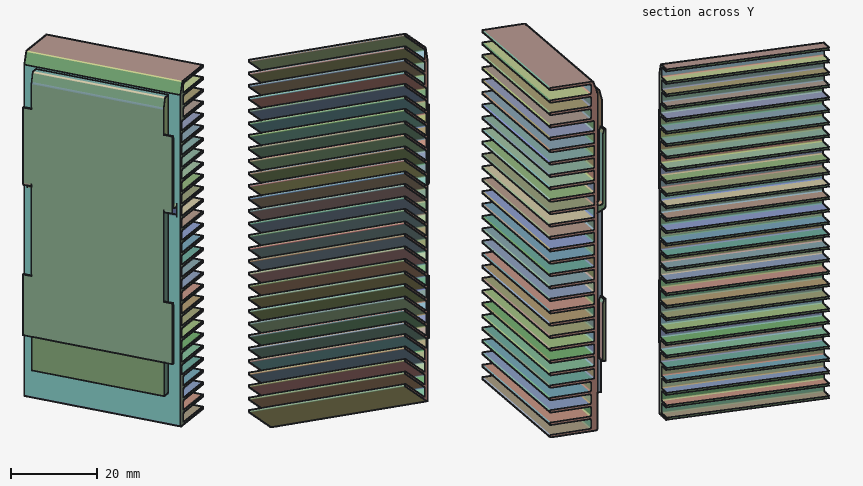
import cadquery as cq
import math

WIDTH = 40.2
HEIGHT = 86.6
DEPTH = 14.4
COVER_HEIGHT = 2.4
COVER_FRONT_Y = -COVER_HEIGHT
FIN_TIP_Y = DEPTH - COVER_HEIGHT

PLATE_THICKNESS = 0.82
END_THICKNESS = 1.65
PLATE_BOTTOM_RADIUS = 0.5
PLATE_TOP_RADIUS = 0.35
TOP_BEVEL_HEIGHT = 3.0
BEVEL_ANGLE = 20.0

FIN_COUNT = 29
FIN_THICKNESS = 0.65
FIN_TIP_RADIUS = 0.3
FIN_ROOT_RADIUS = 0.3
FIN_PITCH = (HEIGHT - FIN_THICKNESS) / (FIN_COUNT - 1)
THICK_GAPS_TOP = 3
THICK_GAPS_BOTTOM = 4

BLOCK_WIDTH = 34.0
BLOCK_BOTTOM_Z = 8.05
BLOCK_TOP_Z = 83.05
BLOCK_BEVEL_HEIGHT = 2.6
BLOCK_BEVEL_ANGLE = 15.0
BLOCK_EDGE_RADIUS = 0.4
BLOCK_BEND_RADIUS = 2.1
COVER_STEP = 0.3
COVER_EDGE_RADIUS = 0.22

TAB_SPAN = 38.45
TAB_THICKNESS = 0.74
TAB_BACK_Y = COVER_FRONT_Y + TAB_THICKNESS
TAB_LEAD_DEPTH = 0.3
TAB_LEAD_HEIGHT = 1.0
LOWER_TAB_BOTTOM_Z = 16.5
LOWER_TAB_TOP_Z = 31.9
UPPER_TAB_TOP_Z = 73.9

FOOT_TOP_Z = 55.3
FOOT_OUTER_Z = 54.4
FOOT_SLOPE_ANGLE = 22.0
FOOT_OUTER_RADIUS = 0.9
FOOT_INNER_RADIUS = 0.6
FOOT_TOP_ROOT_RADIUS = 0.7
FOOT_BOTTOM_ROOT_RADIUS = 0.9
FOOT_PAD_MARGIN = 2.6


def extrude_across(profile, span):
    """Extrude a (Y, Z) profile symmetrically across the width."""
    return profile.extrude(span / 2, both=True)


def box_yz(span, y_min, y_max, z_min, z_max):
    """Box of the given width, centred on X."""
    profile = cq.Workplane("YZ").moveTo(y_min, z_min).lineTo(y_max, z_min)
    profile = profile.lineTo(y_max, z_max).lineTo(y_min, z_max).close()
    return extrude_across(profile, span)


def edges_at(y, z):
    """Selector for X-parallel edges passing close to the point (Y, Z)."""
    reach = 0.01
    return cq.selectors.BoxSelector(
        (-WIDTH, y - reach, z - reach), (WIDTH, y + reach, z + reach)
    )


def make_heat_sink():
    bevel_y = TOP_BEVEL_HEIGHT * math.tan(math.radians(BEVEL_ANGLE))
    profile = (
        cq.Workplane("YZ")
        .moveTo(0, 0)
        .lineTo(FIN_TIP_Y, 0)
        .lineTo(FIN_TIP_Y, HEIGHT)
        .lineTo(bevel_y, HEIGHT)
        .lineTo(0, HEIGHT - TOP_BEVEL_HEIGHT)
        .close()
    )
    body = extrude_across(profile, WIDTH)
    body = body.edges(edges_at(0, 0)).fillet(PLATE_BOTTOM_RADIUS)
    body = body.edges(edges_at(bevel_y, HEIGHT)).fillet(PLATE_TOP_RADIUS)

    gap_count = FIN_COUNT - 1
    for index in range(gap_count):
        in_thick_end = index < THICK_GAPS_BOTTOM or index >= gap_count - THICK_GAPS_TOP
        root_y = END_THICKNESS if in_thick_end else PLATE_THICKNESS
        gap_bottom = index * FIN_PITCH + FIN_THICKNESS
        gap_top = (index + 1) * FIN_PITCH
        gap = box_yz(WIDTH, root_y, FIN_TIP_Y, gap_bottom, gap_top)
        gap = gap.faces("<Y").edges("|X").fillet(FIN_ROOT_RADIUS)
        body = body.cut(gap)
    return body.faces(">Y").edges("|X").fillet(FIN_TIP_RADIUS)


def make_block():
    bevel_y = COVER_FRONT_Y + BLOCK_BEVEL_HEIGHT * math.tan(math.radians(BLOCK_BEVEL_ANGLE))
    bevel_z = BLOCK_TOP_Z - BLOCK_BEVEL_HEIGHT
    profile = (
        cq.Workplane("YZ")
        .moveTo(0, BLOCK_BOTTOM_Z)
        .lineTo(0, BLOCK_TOP_Z)
        .lineTo(bevel_y, BLOCK_TOP_Z)
        .lineTo(COVER_FRONT_Y, bevel_z)
        .lineTo(COVER_FRONT_Y, LOWER_TAB_BOTTOM_Z)
        .lineTo(COVER_FRONT_Y + COVER_STEP, LOWER_TAB_BOTTOM_Z)
        .lineTo(COVER_FRONT_Y + COVER_STEP, BLOCK_BOTTOM_Z)
        .close()
    )
    block = extrude_across(profile, BLOCK_WIDTH)
    block = block.edges(edges_at(bevel_y, BLOCK_TOP_Z)).fillet(BLOCK_EDGE_RADIUS)
    return block.edges(edges_at(COVER_FRONT_Y, bevel_z)).fillet(BLOCK_BEND_RADIUS)


def draw_tab_top(profile, top_z):
    """Finish a tab outline across its top, from the front face to the lead-in on the back."""
    return (
        profile.lineTo(COVER_FRONT_Y, top_z)
        .lineTo(TAB_BACK_Y - TAB_LEAD_DEPTH, top_z)
        .lineTo(TAB_BACK_Y, top_z - TAB_LEAD_HEIGHT)
        .close()
    )


def make_lower_tabs():
    profile = (
        cq.Workplane("YZ")
        .moveTo(TAB_BACK_Y, LOWER_TAB_BOTTOM_Z)
        .lineTo(COVER_FRONT_Y, LOWER_TAB_BOTTOM_Z)
    )
    return extrude_across(draw_tab_top(profile, LOWER_TAB_TOP_Z), TAB_SPAN)


def make_upper_tabs():
    slope_drop = COVER_HEIGHT * math.tan(math.radians(FOOT_SLOPE_ANGLE))
    foot_bottom_z = FOOT_OUTER_Z - slope_drop
    pad_bottom_z = foot_bottom_z - FOOT_PAD_MARGIN
    pad_top_z = FOOT_TOP_Z + FOOT_PAD_MARGIN

    profile = (
        cq.Workplane("YZ")
        .moveTo(TAB_BACK_Y, FOOT_TOP_Z)
        .lineTo(0, FOOT_TOP_Z)
        .lineTo(0, pad_top_z)
        .lineTo(PLATE_THICKNESS, pad_top_z)
        .lineTo(PLATE_THICKNESS, pad_bottom_z)
        .lineTo(0, pad_bottom_z)
        .lineTo(0, foot_bottom_z)
        .lineTo(COVER_FRONT_Y, FOOT_OUTER_Z)
    )
    tabs = extrude_across(draw_tab_top(profile, UPPER_TAB_TOP_Z), TAB_SPAN)
    tabs = tabs.edges(edges_at(COVER_FRONT_Y, FOOT_OUTER_Z)).fillet(FOOT_OUTER_RADIUS)
    tabs = tabs.edges(edges_at(TAB_BACK_Y, FOOT_TOP_Z)).fillet(FOOT_INNER_RADIUS)
    tabs = tabs.edges(edges_at(0, FOOT_TOP_Z)).fillet(FOOT_TOP_ROOT_RADIUS)
    return tabs.edges(edges_at(0, foot_bottom_z)).fillet(FOOT_BOTTOM_ROOT_RADIUS)


front_cover = make_block().union(make_lower_tabs()).union(make_upper_tabs()).clean()
cover_lower_edge = edges_at(COVER_FRONT_Y, LOWER_TAB_BOTTOM_Z)
front_cover = front_cover.edges(cover_lower_edge).fillet(COVER_EDGE_RADIUS)

result = make_heat_sink().union(front_cover)